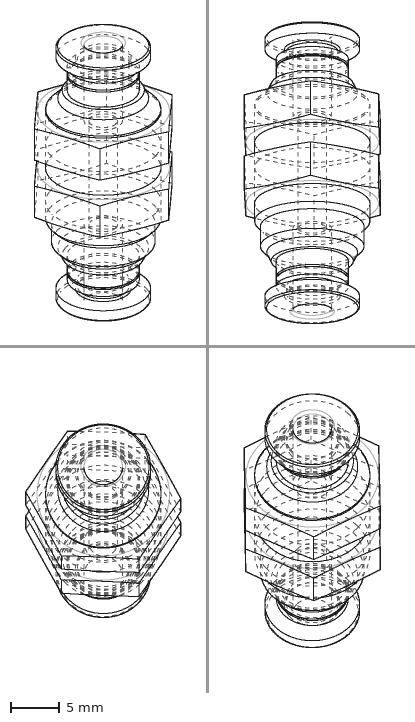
import cadquery as cq
import math

total_length = 30.8
half_length = total_length / 2

flange_radius = 9.9 / 2
flange_inner_depth = 1.72
crown_height = 0.4
rim_bevel = 0.2
neck_radius = 5.4 / 2
neck_bevel = 0.22
collar_radius = 7.5 / 2
collar_depth = 2.77
groove_depth = 3.65
groove_bevel = 0.15
shoulder_depth = 5.6
shoulder_radius = 4.28
steep_cone_radius = 4.75
steep_cone_depth = 6.55

barrel_radius = 12.0 / 2
barrel_bottom = -5.4
step_radius = 10.8 / 2

socket_radius = 4.0 / 2
socket_depth = 9.25
passage_radius = 3.0 / 2
mouth_round = 0.3

across_flats = 14.0
across_corners = across_flats / math.cos(math.pi / 6)
nut_height = 4.0
nut_bottoms = (3.35, -3.42)
nut_face_radius = 6.9
nut_corner_drop = 0.15


def trace_sleeve(profile, outward):
    """Add the sleeve outline, from its mouth to its conical shoulder."""
    round_gap = 1 - math.sqrt(0.5)

    def level(depth):
        return outward * (half_length - depth)

    crown_radius = flange_radius - rim_bevel
    outline = profile.moveTo(socket_radius, level(mouth_round))
    outline = outline.threePointArc(
        (socket_radius + mouth_round * round_gap, level(mouth_round * round_gap)),
        (socket_radius + mouth_round, level(0)),
    )
    return (
        outline.lineTo(crown_radius, level(crown_height))
        .lineTo(flange_radius, level(crown_height + rim_bevel))
        .lineTo(flange_radius, level(flange_inner_depth))
        .lineTo(neck_radius + neck_bevel, level(flange_inner_depth))
        .lineTo(neck_radius, level(flange_inner_depth + neck_bevel))
        .lineTo(neck_radius, level(collar_depth))
        .lineTo(collar_radius, level(collar_depth))
        .lineTo(collar_radius, level(groove_depth - groove_bevel / 2))
        .lineTo(collar_radius - groove_bevel, level(groove_depth))
        .lineTo(collar_radius, level(groove_depth + groove_bevel))
        .lineTo(collar_radius, level(shoulder_depth))
        .lineTo(shoulder_radius, level(shoulder_depth))
        .lineTo(steep_cone_radius, level(steep_cone_depth))
    )


def make_sleeve(outward):
    """Revolve one sleeve end, with its socket open and its inner face flat."""
    inner_level = outward * (half_length - steep_cone_depth)
    return (
        trace_sleeve(cq.Workplane("XZ"), outward)
        .lineTo(socket_radius, inner_level)
        .close()
        .revolve(360, (0, 0, 0), (0, 1, 0))
    )


def make_barrel():
    """Revolve the barrel between the sleeve ends, with 45 degree cones and a stepped bore."""
    end_level = half_length - steep_cone_depth
    socket_level = half_length - socket_depth
    upper_cone_level = end_level - (barrel_radius - steep_cone_radius)
    lower_cone_level = -end_level + (step_radius - steep_cone_radius)
    step_level = barrel_bottom - (barrel_radius - step_radius)
    profile = [
        (socket_radius, end_level),
        (steep_cone_radius, end_level),
        (barrel_radius, upper_cone_level),
        (barrel_radius, barrel_bottom),
        (step_radius, step_level),
        (step_radius, lower_cone_level),
        (steep_cone_radius, -end_level),
        (socket_radius, -end_level),
        (socket_radius, -socket_level),
        (passage_radius, -socket_level),
        (passage_radius, socket_level),
        (socket_radius, socket_level),
    ]
    return cq.Workplane("XZ").polyline(profile).close().revolve(360, (0, 0, 0), (0, 1, 0))


def make_housing():
    """Join the barrel and its two sleeve ends into one solid."""
    return make_barrel().union(make_sleeve(1)).union(make_sleeve(-1))


def make_nut(bottom):
    """Hexagonal nut with conically chamfered corners, bored to fit the barrel."""
    corner_radius = across_corners / 2
    top = bottom + nut_height
    hexagon = (
        cq.Workplane("XY", origin=(0, 0, bottom))
        .polygon(6, across_corners)
        .extrude(nut_height)
    )
    chamfered_ring = [
        (barrel_radius, bottom),
        (nut_face_radius, bottom),
        (corner_radius, bottom + nut_corner_drop),
        (corner_radius, top - nut_corner_drop),
        (nut_face_radius, top),
        (barrel_radius, top),
    ]
    envelope = cq.Workplane("XZ").polyline(chamfered_ring).close().revolve(360, (0, 0, 0), (0, 1, 0))
    return hexagon.intersect(envelope)


housing = make_housing()
nut_solids = [make_nut(bottom).solids().val() for bottom in nut_bottoms]

result = cq.Compound.makeCompound([*housing.solids().vals(), *nut_solids])